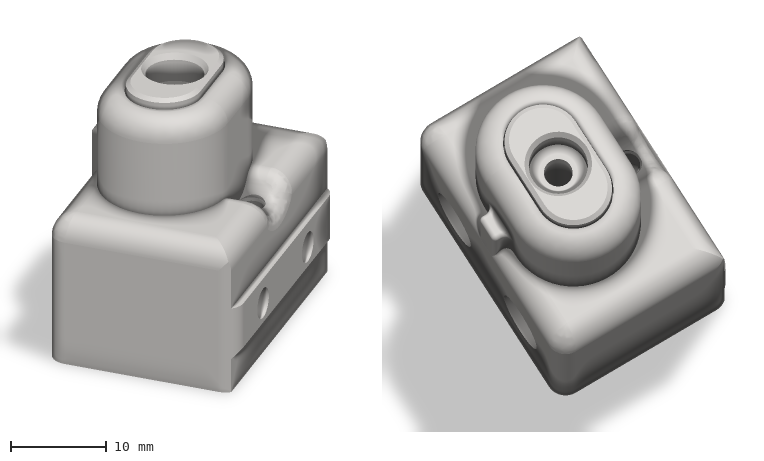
import cadquery as cq
BLOCK_LENGTH = 29.05
BLOCK_HEIGHT = 16.87
FRONT_X = -8.83
BACK_X = 11.65
LIP_X = 12.43
CORNER_RADIUS = 2.03
TOP_RADIUS = 2.5

LIP_BOTTOM_Z = 3.92
LIP_TOP_Z = 9.9

POST_WIDTH = 14.08
POST_LENGTH = 20.12
POST_TOP_Z = 27.88
POST_RADIUS = 2.5
POST_BOTTOM_Z = BLOCK_HEIGHT - TOP_RADIUS

CAP_WIDTH = 8.05
CAP_LENGTH = 14.08
CAP_TOP_Z = 28.95
CAP_HEIGHT = 5.0
CAP_CLEARANCE = 0.15
CAP_CHAMFER_WIDTH = 0.46
CAP_CHAMFER_HEIGHT = 0.35
CAP_BOTTOM_Z = CAP_TOP_Z - CAP_HEIGHT

SCREW_HOLE_DIAMETER = 3.0
SCREW_HEAD_DIAMETER = 6.15
SCREW_HEAD_DEPTH = 3.1
SCREW_HEAD_CHAMFER_WIDTH = 0.45
SCREW_HEAD_CHAMFER_HEIGHT = 0.6

RIB_WIDTH = 3.02
RIB_TOP_Z = 20.88
RIB_SETBACK = 0.005
RIB_FRONT_X = FRONT_X + RIB_SETBACK
RIB_EDGE_RADIUS = 0.5
RIB_ROOT_RADIUS = 1.0

MOUNT_SPACING = 13.1
MOUNT_CENTRE_Y = -0.25
MOUNT_Z = 7.0
MOUNT_HOLE_DIAMETER = 3.4
MOUNT_HEAD_DIAMETER = 6.5
MOUNT_HEAD_DEPTH = 10.0

GROOVE_RADIUS = 3.0
GROOVE_DEPTH = 2.32
GROOVE_RIM_RADIUS = 2.0
GROOVE_FLOOR_Z = BLOCK_HEIGHT - GROOVE_DEPTH
GROOVE_AXIS_Z = GROOVE_FLOOR_Z + GROOVE_RADIUS

ENTRY_X = 8.55
ENTRY_DIAMETER = 2.53
ENTRY_RIM_DIAMETER = 2.9
ENTRY_CHAMFER_DEPTH = 0.3
ENTRY_DEPTH = 3.78
CABLE_BORE_DIAMETER = 2.5
CABLE_BORE_LENGTH = 3.48
CABLE_BORE_END = 0.87
CABLE_BORE_ANGLE = 135.0

SELECT_MARGIN = 0.03


def box_between(x_min, x_max, width, z_min, z_max):
    """Box centred on Y = 0 between the given X and Z limits."""
    box = cq.Workplane("XY").box(x_max - x_min, width, z_max - z_min, centered=(False, True, False))
    return box.translate((x_min, 0, z_min))


def oval(length, width, z_min, z_max):
    """Upright oval prism, long along Y."""
    plane = cq.Workplane("XY").workplane(offset=z_min)
    return plane.slot2D(length, width, 90).extrude(z_max - z_min)


def upright_cylinder(x, diameter, z_min, z_max):
    """Vertical cylinder on the Y = 0 plane."""
    plane = cq.Workplane("XY").workplane(offset=z_min)
    return plane.center(x, 0).circle(diameter / 2).extrude(z_max - z_min)


def upright_cone(x, bottom_diameter, top_diameter, z_min, z_max):
    """Vertical cone frustum on the Y = 0 plane."""
    plane = cq.Workplane("XY").workplane(offset=z_min).center(x, 0)
    return plane.circle(bottom_diameter / 2).workplane(offset=z_max - z_min).circle(top_diameter / 2).loft()


def rounded_plan(height):
    """Prism with the full plan of the housing and rounded vertical corners."""
    plan = box_between(FRONT_X, LIP_X, BLOCK_LENGTH, 0, height)
    return plan.edges("|Z").fillet(CORNER_RADIUS)


def make_block():
    """Block with rounded top edges, whose back corners follow the rounded plan of the lip."""
    block = box_between(FRONT_X, BACK_X, BLOCK_LENGTH, 0, BLOCK_HEIGHT)
    block = block.edges("|Z and <X").fillet(CORNER_RADIUS)
    block = block.faces(">Z").edges().fillet(TOP_RADIUS)
    return block.intersect(rounded_plan(BLOCK_HEIGHT))


def make_lip():
    """Full-length lip on the back face with a sloping underside and rounded ends."""
    lip_depth = LIP_X - BACK_X
    root_x = BACK_X - lip_depth
    profile = [
        (root_x, LIP_TOP_Z),
        (LIP_X, LIP_TOP_Z),
        (LIP_X, LIP_BOTTOM_Z + lip_depth),
        (BACK_X, LIP_BOTTOM_Z),
        (root_x, LIP_BOTTOM_Z),
    ]
    lip = cq.Workplane("XZ").polyline(profile).close().extrude(BLOCK_LENGTH / 2, both=True)
    return lip.intersect(rounded_plan(BLOCK_HEIGHT))


def region(x_min, x_max, y_max, z_min, z_max):
    """Selector for a box that is symmetric about Y = 0, a little larger than the limits."""
    low = (x_min - SELECT_MARGIN, -y_max - SELECT_MARGIN, z_min - SELECT_MARGIN)
    high = (x_max + SELECT_MARGIN, y_max + SELECT_MARGIN, z_max + SELECT_MARGIN)
    return cq.selectors.BoxSelector(low, high)


def make_post():
    """Oval post with a rounded top edge and a key rib on its front."""
    post_front_x = -POST_WIDTH / 2
    rib_reach = RIB_WIDTH / 2 + RIB_ROOT_RADIUS
    post = oval(POST_LENGTH, POST_WIDTH, POST_BOTTOM_Z, POST_TOP_Z)
    post = post.faces(">Z").edges().fillet(POST_RADIUS)
    post = post.union(box_between(RIB_FRONT_X, 0, RIB_WIDTH, POST_BOTTOM_Z, RIB_TOP_Z))

    root = region(post_front_x, post_front_x, RIB_WIDTH / 2, POST_BOTTOM_Z, RIB_TOP_Z)
    post = post.edges("|Z").edges(root).fillet(RIB_ROOT_RADIUS)
    corners = region(RIB_FRONT_X, RIB_FRONT_X, RIB_WIDTH / 2, POST_BOTTOM_Z, RIB_TOP_Z)
    post = post.edges("|Z").edges(corners).fillet(RIB_EDGE_RADIUS)

    outline = region(RIB_FRONT_X, post_front_x - 2 * SELECT_MARGIN, rib_reach, RIB_TOP_Z, RIB_TOP_Z)
    post = post.edges(outline).fillet(RIB_EDGE_RADIUS)
    top_root = region(post_front_x, post_front_x, rib_reach, RIB_TOP_Z, RIB_TOP_Z)
    return post.edges(top_root).edges("|Y").fillet(RIB_EDGE_RADIUS)


def add_cable_groove(block):
    """Cut the round-bottomed groove and round its whole rim, along the top and over the back edge."""
    groove = cq.Workplane("YZ").center(0, GROOVE_AXIS_Z).circle(GROOVE_RADIUS).extrude(LIP_X)
    block = block.cut(groove)
    rim = region(GROOVE_RIM_RADIUS, BACK_X, GROOVE_RADIUS, GROOVE_FLOOR_Z, BLOCK_HEIGHT)
    return block.edges(rim).fillet(GROOVE_RIM_RADIUS)


def cable_entry():
    """Chamfered vertical hole in the groove that ends in a level bore heading inwards."""
    bore_z = GROOVE_FLOOR_Z - ENTRY_DEPTH
    rim_z = GROOVE_FLOOR_Z - ENTRY_CHAMFER_DEPTH
    hole = upright_cylinder(ENTRY_X, ENTRY_DIAMETER, bore_z, rim_z)
    rim = upright_cone(ENTRY_X, ENTRY_DIAMETER, ENTRY_RIM_DIAMETER, rim_z, GROOVE_FLOOR_Z)
    mouth = upright_cylinder(ENTRY_X, ENTRY_RIM_DIAMETER, GROOVE_FLOOR_Z, BLOCK_HEIGHT)
    bore = cq.Workplane("YZ").circle(CABLE_BORE_DIAMETER / 2).extrude(CABLE_BORE_LENGTH)
    bore = bore.translate((-CABLE_BORE_END, 0, 0))
    bore = bore.rotate((0, 0, 0), (0, 0, 1), CABLE_BORE_ANGLE)
    bore = bore.translate((ENTRY_X, 0, bore_z))
    return hole.union(rim).union(mouth).union(bore)


def mounting_holes():
    """Pair of holes along X, counterbored from the front face."""
    front = cq.Workplane("YZ").workplane(offset=FRONT_X)
    centres = [(MOUNT_CENTRE_Y + side * MOUNT_SPACING / 2, MOUNT_Z) for side in (-1, 1)]
    holes = front.pushPoints(centres).circle(MOUNT_HOLE_DIAMETER / 2).extrude(LIP_X - FRONT_X)
    heads = front.pushPoints(centres).circle(MOUNT_HEAD_DIAMETER / 2).extrude(MOUNT_HEAD_DEPTH)
    return holes.union(heads)


def make_housing():
    """Block, lip and post in one piece, with the cap recess and all holes cut out."""
    recess_length = CAP_LENGTH + 2 * CAP_CLEARANCE
    recess_width = CAP_WIDTH + 2 * CAP_CLEARANCE
    housing = add_cable_groove(make_block())
    housing = housing.union(make_lip()).union(make_post())
    housing = housing.cut(oval(recess_length, recess_width, CAP_BOTTOM_Z, POST_TOP_Z))
    housing = housing.cut(upright_cylinder(0, SCREW_HOLE_DIAMETER, 0, POST_TOP_Z))
    housing = housing.cut(cable_entry())
    return housing.cut(mounting_holes())


def make_cap():
    """Oval cap with a chamfered rim and a chamfered counterbore for the screw."""
    cap = oval(CAP_LENGTH, CAP_WIDTH, CAP_BOTTOM_Z, CAP_TOP_Z)
    cap = cap.faces(">Z").edges().chamfer(CAP_CHAMFER_HEIGHT, CAP_CHAMFER_WIDTH)
    head_floor_z = CAP_TOP_Z - SCREW_HEAD_DEPTH
    cap = cap.cut(upright_cylinder(0, SCREW_HOLE_DIAMETER, CAP_BOTTOM_Z, CAP_TOP_Z))
    cap = cap.cut(upright_cylinder(0, SCREW_HEAD_DIAMETER, head_floor_z, CAP_TOP_Z))
    rim_diameter = SCREW_HEAD_DIAMETER + 2 * SCREW_HEAD_CHAMFER_WIDTH
    rim_z = CAP_TOP_Z - SCREW_HEAD_CHAMFER_HEIGHT
    chamfer = upright_cone(0, SCREW_HEAD_DIAMETER, rim_diameter, rim_z, CAP_TOP_Z)
    return cap.cut(chamfer)


housing = make_housing()
cap = make_cap()
result = cq.Compound.makeCompound([housing.val(), cap.val()])